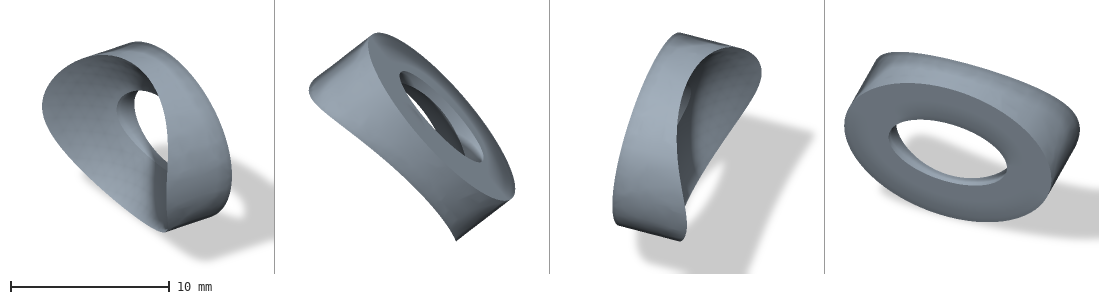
import cadquery as cq
import math

width = 14.0
height = 11.0
depth = 5.0
hole_width = 8.0
hole_height = 5.0
sphere_radius = 7.5

sphere_center_y = -math.sqrt(sphere_radius**2 - (width / 2) ** 2)


def elliptical_prism(x_size, z_size):
    """Elliptical prism reaching from Y = 0 to the flat back face."""
    profile = cq.Workplane("XZ").ellipse(x_size / 2, z_size / 2)
    return profile.extrude(-depth)


body = elliptical_prism(width, height)
hole = elliptical_prism(hole_width, hole_height)
hollow = cq.Workplane("XY").sphere(sphere_radius).translate((0, sphere_center_y, 0))

result = body.cut(hole).cut(hollow)